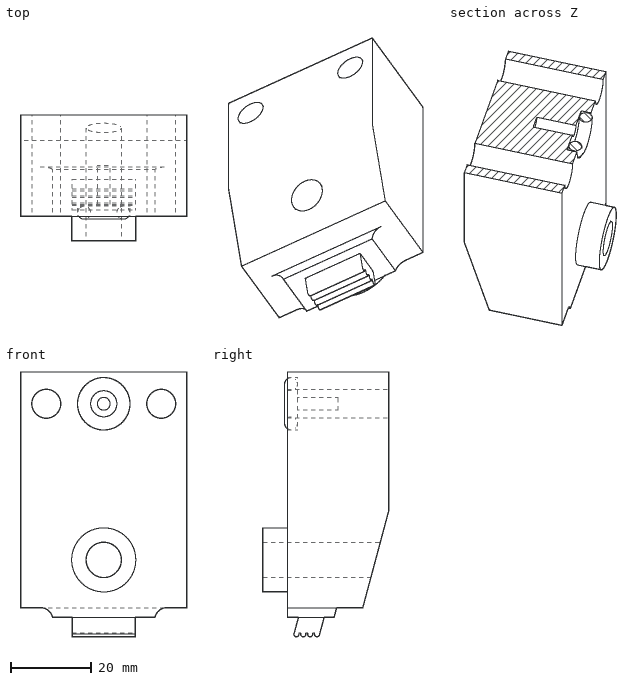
import cadquery as cq
import math


overall_depth = 31.37
overall_height = 65.89

width = 41.275
depth = 25.25
height = 58.65
back_slope = math.tan(math.radians(15))
slope_height = 24.1

foot_height = 2.4
foot_corner_radius = 3.0
foot_half_width = 12.75
foot_depth = 11.65

tongue_width = 15.75
tongue_depth = 6.45
tongue_front = 2.75
tongue_height = overall_height - height - foot_height
tooth_count = 4
tooth_gap = 0.4
tooth_overhang = 0.1
tooth_radius = (tongue_depth - (tooth_count - 1) * tooth_gap) / tooth_count / 2
tooth_root_height = 0.95

boss_diameter = 15.95
boss_length = overall_depth - depth
boss_hole_diameter = 8.73
boss_z = height - 46.75

top_hole_drop = 7.94
top_hole_z = height - top_hole_drop
mount_hole_diameter = 7.14
mount_hole_spacing = 28.575

ring_section_radius = 1.62
ring_mean_radius = 4.87
ring_projection = 0.7
ring_center_depth = ring_section_radius - ring_projection
recess_clearance = 0.05
recess_radius = ring_mean_radius + ring_section_radius + recess_clearance
recess_depth = ring_center_depth + ring_section_radius
port_diameter = 3.18
port_depth = depth / 2


def front_cylinder(x, z, diameter, y_start, y_end):
    """Cylinder along Y between two Y positions."""
    return (
        cq.Workplane("XZ", origin=(x, y_start, z))
        .circle(diameter / 2)
        .extrude(y_start - y_end)
    )


def make_block():
    """Block whose back slopes toward the front near the bottom."""
    return (
        cq.Workplane("YZ", origin=(-width / 2, 0, 0))
        .polyline([
            (0, 0),
            (0, height),
            (depth, height),
            (depth, slope_height),
            (depth - slope_height * back_slope, 0),
        ])
        .close()
        .extrude(width)
    )


def make_foot():
    """Foot with concave quarter-round flanks and a sloped back."""
    rise = foot_corner_radius - foot_height
    arc_run = math.sqrt(foot_corner_radius**2 - rise**2)
    top_half_width = foot_half_width + arc_run
    half_angle = math.atan2(arc_run, rise) / 2
    mid_x = top_half_width - foot_corner_radius * math.sin(half_angle)
    mid_z = -foot_corner_radius * (1 - math.cos(half_angle))
    top_depth = foot_depth + foot_height * back_slope

    flanks = (
        cq.Workplane("XZ")
        .moveTo(-top_half_width, 0)
        .threePointArc((-mid_x, mid_z), (-foot_half_width, -foot_height))
        .lineTo(foot_half_width, -foot_height)
        .threePointArc((mid_x, mid_z), (top_half_width, 0))
        .close()
        .extrude(-top_depth)
    )
    side_profile = (
        cq.Workplane("YZ", origin=(-width / 2, 0, 0))
        .polyline([(0, 0), (top_depth, 0), (foot_depth, -foot_height), (0, -foot_height)])
        .close()
        .extrude(width)
    )
    return flanks.intersect(side_profile)


def make_tongue():
    """Tongue leaning forward, ending in a row of round-tipped teeth with narrow gaps."""
    tip_z = -foot_height - tongue_height
    tooth_z = tip_z + tooth_radius
    root_z = tip_z + tooth_root_height
    root_front = tongue_front - (tongue_height - tooth_root_height) * back_slope
    tip_front = root_front - tooth_overhang
    tooth_pitch = 2 * tooth_radius + tooth_gap
    profile = (
        cq.Workplane("YZ", origin=(-tongue_width / 2, 0, 0))
        .moveTo(tongue_front + tongue_depth, -foot_height)
        .lineTo(tongue_front, -foot_height)
        .lineTo(root_front, root_z)
        .lineTo(tip_front, tooth_z)
    )
    for tooth in range(tooth_count):
        tooth_start = tip_front + tooth * tooth_pitch
        tooth_end = tooth_start + 2 * tooth_radius
        if tooth > 0:
            profile = (
                profile
                .lineTo(tooth_start - tooth_gap, root_z)
                .lineTo(tooth_start, root_z)
                .lineTo(tooth_start, tooth_z)
            )
        profile = profile.threePointArc((tooth_start + tooth_radius, tip_z), (tooth_end, tooth_z))
    return profile.close().extrude(tongue_width)


def make_housing():
    """Block, foot, tongue and boss as one solid, with all holes cut."""
    body = make_block().union(make_foot()).union(make_tongue())
    body = body.union(front_cylinder(0, boss_z, boss_diameter, -boss_length, depth / 2))
    body = body.cut(front_cylinder(0, boss_z, boss_hole_diameter, -boss_length, depth))
    for side in (-1, 1):
        x = side * mount_hole_spacing / 2
        body = body.cut(front_cylinder(x, top_hole_z, mount_hole_diameter, 0, depth))
    body = body.cut(front_cylinder(0, top_hole_z, 2 * recess_radius, 0, recess_depth))
    return body.cut(front_cylinder(0, top_hole_z, port_diameter, 0, port_depth))


def make_seal_ring():
    """Round-section ring seated on the recess floor, standing proud of the front face."""
    ring = cq.Solid.makeTorus(
        ring_mean_radius,
        ring_section_radius,
        cq.Vector(0, ring_center_depth, top_hole_z),
        cq.Vector(0, 1, 0),
    )
    return cq.Workplane(obj=ring)


housing = make_housing()
seal_ring = make_seal_ring()

result = cq.Compound.makeCompound([housing.val(), seal_ring.val()])